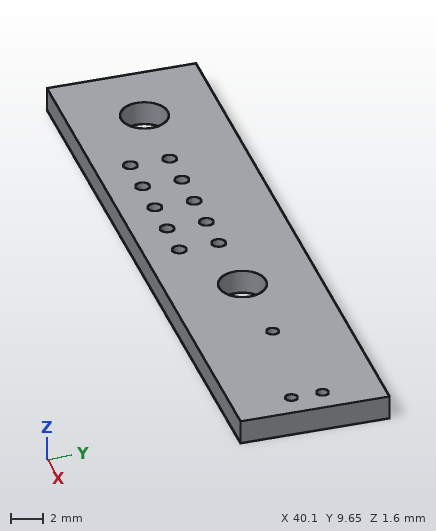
import cadquery as cq

length = 40.15
width = 9.65
thickness = 1.6

mount_diameter = 3.0
mount_x = (-15.3, 5.0)

pin_diameter = 0.9
pin_columns = 5
pin_rows = 2
first_pin_x = -10.07
last_pin_x = 0.1
pin_pitch = (last_pin_x - first_pin_x) / (pin_columns - 1)

small_diameter = 0.75
single_hole = (10.75, 0.15)
pair_x = 18.38
pair_spacing = 2.0


def drill(plate, points, diameter):
    """Cut round through holes at the given points."""
    cutters = (
        cq.Workplane("XY")
        .pushPoints(points)
        .circle(diameter / 2)
        .extrude(thickness)
    )
    return plate.cut(cutters)


mount_points = [(x, 0) for x in mount_x]
pin_points = [
    (first_pin_x + column * pin_pitch, -row * pin_pitch)
    for column in range(pin_columns)
    for row in range(pin_rows)
]
pair_points = [(pair_x, side * pair_spacing / 2) for side in (-1, 1)]

result = cq.Workplane("XY").box(length, width, thickness, centered=(True, True, False))
result = drill(result, mount_points, mount_diameter)
result = drill(result, pin_points, pin_diameter)
result = drill(result, [single_hole] + pair_points, small_diameter)